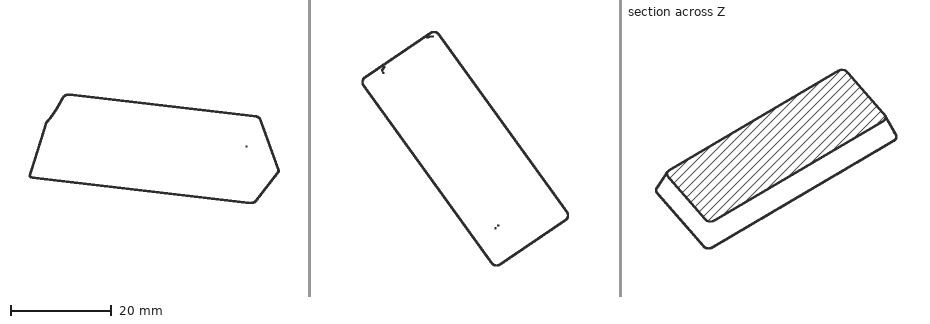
import cadquery as cq
import math

BASE_LENGTH = 46.88
BASE_WIDTH = 18.3
WALL_DRAFT = 13.92
CORNER_RADIUS = 1.25
RIM_RADIUS = 0.64
DISH_RADIUS = 20.65
DISH_AXIS_Y = -2.43
DISH_LOWEST_Z = 10.8
BLANK_HEIGHT = 15.0

DISH_AXIS_Z = DISH_LOWEST_Z + DISH_RADIUS
BLANK_TOP_INSET = BLANK_HEIGHT * math.tan(math.radians(WALL_DRAFT))


def tapered_body():
    """Solid frustum on a rectangular base, with its sloping corners rounded."""
    body = (
        cq.Workplane("XY")
        .rect(BASE_LENGTH, BASE_WIDTH)
        .workplane(offset=BLANK_HEIGHT)
        .rect(BASE_LENGTH - 2 * BLANK_TOP_INSET, BASE_WIDTH - 2 * BLANK_TOP_INSET)
        .loft(ruled=True)
    )
    sloping_corners = body.edges("not(#Z)")
    return sloping_corners.fillet(CORNER_RADIUS)


def dish_cutter():
    """Cylinder along X that hollows the top of the body."""
    return (
        cq.Workplane("YZ")
        .center(DISH_AXIS_Y, DISH_AXIS_Z)
        .circle(DISH_RADIUS)
        .extrude(BASE_LENGTH / 2, both=True)
    )


def round_rim(body):
    """Fillet every edge that bounds the dish."""
    dish_bottom = (0, DISH_AXIS_Y, DISH_LOWEST_Z)
    dish_face = body.faces(cq.selectors.NearestToPointSelector(dish_bottom))
    return dish_face.edges().fillet(RIM_RADIUS)


dished_body = tapered_body().cut(dish_cutter())
result = round_rim(dished_body)